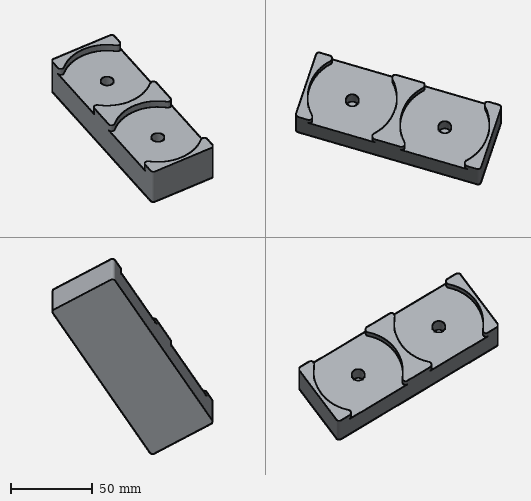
import cadquery as cq

length = 119.4
width = 44.8
height = 25.5
corner_radius = 2.0
seat_diameter = 55.0
seat_depth = 5.0
hole_diameter = 8.0
hole_depth = 11.9

pitch = length / 2
seat_centers = [(-pitch / 2, 0), (pitch / 2, 0)]
floor_height = height - seat_depth


def rounded_block(block_height, bottom=0.0):
    """Block with the full outline and rounded vertical corners."""
    return (
        cq.Workplane("XY", origin=(0, 0, bottom))
        .rect(length, width)
        .extrude(block_height)
        .edges("|Z")
        .fillet(corner_radius)
    )


def cylinders_down(top, diameter, depth):
    """One vertical cylinder at every seat centre, extending down from top."""
    return (
        cq.Workplane("XY", origin=(0, 0, top))
        .pushPoints(seat_centers)
        .circle(diameter / 2)
        .extrude(-depth)
    )


def seat_walls():
    """Raised walls left around the round seats, with rounded tips."""
    walls = rounded_block(seat_depth, floor_height).cut(
        cylinders_down(height, seat_diameter, seat_depth)
    )
    corner_start = length / 2 - 2 * corner_radius
    tip_zone = cq.selectors.BoxSelector(
        (-corner_start, -width, 0), (corner_start, width, height)
    )
    return walls.edges("|Z").edges(tip_zone).fillet(corner_radius)


base = rounded_block(floor_height)
center_holes = cylinders_down(floor_height, hole_diameter, hole_depth)
result = base.union(seat_walls()).cut(center_holes)